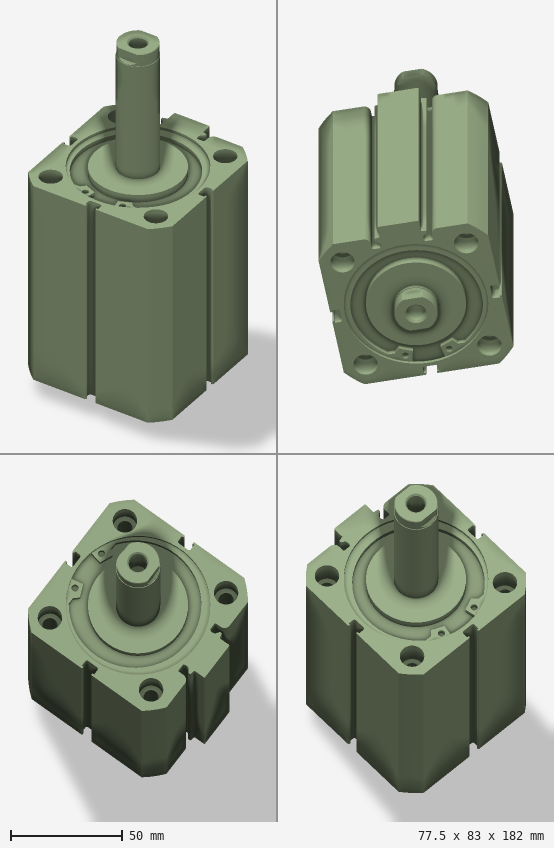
import cadquery as cq
import math


body_width = 77.5
half_width = body_width / 2
body_length = 106.0
corner_radius = 49.5
bore_diameter = 65.0

bolt_circle_radius = 40.0
bolt_pitch = bolt_circle_radius * math.sqrt(2)
bolt_hole_diameter = 6.8
counterbore_diameter = 11.0
counterbore_depth = 12.0

ring_outer_radius = 34.0

slot_mouth_width = 5.0
slot_inner_width = 6.9
slot_lip = 1.0
slot_lip_chamfer = 0.3
slot_corner_radius = 1.0
slot_floor_wall = 0.25
slot_floor_radius = ring_outer_radius + slot_floor_wall
slot_depth = half_width - slot_floor_radius

rail_half_width = 9.5
rail_height = 5.5
rail_top = half_width + rail_height
rail_corner_radius = 0.5
lip_half_width = 11.9
lip_slope_top = 38.6
lip_edge_top = 38.1
lip_edge_bottom = 36.9
undercut_start = (10.5, 36.1)
undercut_middle = (9.7, 34.6)
undercut_end = (10.3, 32.74)
groove_outer = 14.0
groove_mouth_radius = 3.0
groove_floor_radius = 0.7

ring_inset = 1.5
ring_thickness = 2.5
ring_inner_radius = 29.8
ring_inner_offset = 1.65
lug_inner = (6.3, 25.9)
lug_outer = (7.9, 33.6)
lug_tip = (12.2, 23.4)
lug_root = (14.4, 25.7)
lug_blend = (18.2, 25.7)
lug_hole_center = (10.0, 27.8)
lug_hole_diameter = 3.2
cover_recess = ring_inset + ring_thickness
cover_thickness = 16.0
boss_diameter = 45.0

rod_diameter = 20.0
rod_extension = 68.0
rod_tail = 8.0
neck_diameter = 19.5
neck_length = 6.5
neck_chamfer = 0.3
flat_width = 17.0
flat_length = 5.0
thread_diameter = 8.5
thread_mouth_diameter = 10.0
thread_depth = 20.0
drill_point_angle = 118.0


def mirrored_pair(shape):
    """Return a feature of the upper end together with its copy on the lower end."""
    middle = (0, 0, body_length / 2)
    return [shape, shape.mirror("XY", middle)]


def sensor_slot(angle):
    """T-slot cutter for the -Y face, turned about the rod axis."""
    inner_depth = slot_depth - slot_lip
    inner = (
        cq.Workplane("XY")
        .center(0, -slot_floor_radius - inner_depth / 2)
        .rect(slot_inner_width, inner_depth)
        .extrude(body_length)
        .edges("|Z and >Y")
        .fillet(slot_corner_radius)
    )
    mouth = (
        cq.Workplane("XY")
        .center(0, -half_width + slot_depth / 2)
        .rect(slot_mouth_width, slot_depth)
        .extrude(body_length)
    )
    half_mouth = slot_mouth_width / 2
    flare = (
        cq.Workplane("XY")
        .moveTo(-half_mouth - slot_lip_chamfer, -half_width)
        .lineTo(half_mouth + slot_lip_chamfer, -half_width)
        .lineTo(half_mouth, -half_width + slot_lip_chamfer)
        .lineTo(-half_mouth, -half_width + slot_lip_chamfer)
        .close()
        .extrude(body_length)
    )
    return inner.union(mouth).union(flare).rotate((0, 0, 0), (0, 0, 1), angle)


def rail_groove():
    """Cutter for the space on the +X side of the rail, from the groove floor to the rail top."""
    floor_y = undercut_end[1]
    clear_x = body_width
    mouth_x = groove_outer + groove_mouth_radius
    mouth_y = half_width - groove_mouth_radius
    diagonal = groove_mouth_radius * math.sqrt(0.5)
    floor_diagonal = groove_floor_radius * math.sqrt(0.5)
    floor_center = (groove_outer - groove_floor_radius, floor_y + groove_floor_radius)
    return (
        cq.Workplane("XY")
        .moveTo(rail_half_width, rail_top)
        .lineTo(rail_half_width, lip_slope_top)
        .lineTo(lip_half_width, lip_edge_top)
        .lineTo(lip_half_width, lip_edge_bottom)
        .lineTo(*undercut_start)
        .threePointArc(undercut_middle, undercut_end)
        .lineTo(floor_center[0], floor_y)
        .threePointArc(
            (floor_center[0] + floor_diagonal, floor_center[1] - floor_diagonal),
            (groove_outer, floor_center[1]),
        )
        .lineTo(groove_outer, mouth_y)
        .threePointArc((mouth_x - diagonal, mouth_y + diagonal), (mouth_x, half_width))
        .lineTo(clear_x, half_width)
        .lineTo(clear_x, rail_top)
        .close()
        .extrude(body_length)
    )


def make_barrel():
    barrel = cq.Workplane("XY").rect(body_width, body_width).extrude(body_length)
    barrel = barrel.intersect(cq.Workplane("XY").circle(corner_radius).extrude(body_length))

    rail_block = (
        cq.Workplane("XY")
        .center(0, half_width)
        .rect(2 * rail_half_width, 2 * rail_height)
        .extrude(body_length)
        .edges("|Z and >Y")
        .fillet(rail_corner_radius)
    )
    barrel = barrel.union(rail_block)
    groove = rail_groove()
    barrel = barrel.cut(groove).cut(groove.mirror("YZ"))

    for angle in (-90, 0, 90):
        barrel = barrel.cut(sensor_slot(angle))

    bolt_holes = (
        cq.Workplane("XY")
        .rect(bolt_pitch, bolt_pitch, forConstruction=True)
        .vertices()
        .circle(bolt_hole_diameter / 2)
        .extrude(body_length)
    )
    counterbores = (
        cq.Workplane("XY")
        .workplane(offset=body_length - counterbore_depth)
        .rect(bolt_pitch, bolt_pitch, forConstruction=True)
        .vertices()
        .circle(counterbore_diameter / 2)
        .extrude(counterbore_depth)
    )
    bore = cq.Workplane("XY").circle(bore_diameter / 2).extrude(body_length)
    ring_groove = (
        cq.Workplane("XY")
        .workplane(offset=body_length - cover_recess)
        .circle(ring_outer_radius)
        .extrude(ring_thickness)
    )
    barrel = barrel.cut(bolt_holes).cut(bore)
    for end_cut in mirrored_pair(counterbores) + mirrored_pair(ring_groove):
        barrel = barrel.cut(end_cut)
    return barrel


def make_cover():
    """Upper end cover: a disc below the ring with a boss flush with the barrel end."""
    disc = (
        cq.Workplane("XY")
        .workplane(offset=body_length - cover_recess - cover_thickness)
        .circle(bore_diameter / 2)
        .extrude(cover_thickness)
    )
    boss = (
        cq.Workplane("XY")
        .workplane(offset=body_length - cover_recess)
        .circle(boss_diameter / 2)
        .extrude(cover_recess)
    )
    rod_hole = cq.Workplane("XY").circle(rod_diameter / 2).extrude(body_length)
    return disc.union(boss).cut(rod_hole)


def make_ring():
    """Upper retaining ring, open towards -Y, with a plier hole in a lug at each end."""
    ring_plane = cq.Workplane("XY").workplane(offset=body_length - cover_recess)
    disc = ring_plane.circle(ring_outer_radius).extrude(ring_thickness)
    opening = ring_plane.center(0, -ring_inner_offset).circle(ring_inner_radius).extrude(ring_thickness)
    ring = disc.cut(opening)

    for side in (-1, 1):
        corners = [lug_inner, lug_outer, lug_blend, lug_root, lug_tip]
        lug = (
            ring_plane
            .polyline([(side * x, -y) for x, y in corners])
            .close()
            .extrude(ring_thickness)
        )
        ring = ring.union(lug.intersect(disc))

    gap_corners = [
        (-lug_inner[0], -lug_inner[1]),
        (lug_inner[0], -lug_inner[1]),
        (lug_outer[0], -lug_outer[1]),
        (lug_outer[0], -half_width),
        (-lug_outer[0], -half_width),
        (-lug_outer[0], -lug_outer[1]),
    ]
    gap = ring_plane.polyline(gap_corners).close().extrude(ring_thickness)
    plier_holes = (
        ring_plane
        .pushPoints([(side * lug_hole_center[0], -lug_hole_center[1]) for side in (-1, 1)])
        .circle(lug_hole_diameter / 2)
        .extrude(ring_thickness)
    )
    return ring.cut(gap).cut(plier_holes)


def rod_flat(end_z, inward, side):
    """Cutter for one wrench flat; inward is the Z direction into the rod, side the sign of Y."""
    rod_radius = rod_diameter / 2
    flat_end = end_z + inward * flat_length
    shoulder = end_z + inward * neck_length
    profile = [
        (side * flat_width / 2, end_z),
        (side * flat_width / 2, flat_end),
        (side * rod_radius, shoulder),
        (side * rod_diameter, shoulder),
        (side * rod_diameter, end_z),
    ]
    return cq.Workplane("YZ").polyline(profile).close().extrude(rod_radius, both=True)


def thread_hole(end_z, inward):
    """Drilled hole with a countersunk mouth and a conical bottom, as a revolved cutter."""
    hole_radius = thread_diameter / 2
    mouth_radius = thread_mouth_diameter / 2
    mouth_depth = mouth_radius - hole_radius
    point_length = hole_radius / math.tan(math.radians(drill_point_angle / 2))
    profile = [
        (0, end_z),
        (mouth_radius, end_z),
        (hole_radius, end_z + inward * mouth_depth),
        (hole_radius, end_z + inward * thread_depth),
        (0, end_z + inward * (thread_depth + point_length)),
    ]
    return cq.Workplane("XZ").polyline(profile).close().revolve(360, (0, 0, 0), (0, 1, 0))


def make_rod():
    bottom_z = -rod_tail
    top_z = body_length + rod_extension
    full_length = top_z - bottom_z
    core = (
        cq.Workplane("XY")
        .workplane(offset=bottom_z)
        .circle(neck_diameter / 2)
        .extrude(full_length)
        .faces("<Z or >Z")
        .chamfer(neck_chamfer)
    )
    shank = (
        cq.Workplane("XY")
        .workplane(offset=bottom_z + neck_length)
        .circle(rod_diameter / 2)
        .extrude(full_length - 2 * neck_length)
    )
    rod = core.union(shank)
    for end_z, inward in ((bottom_z, 1), (top_z, -1)):
        for side in (-1, 1):
            rod = rod.cut(rod_flat(end_z, inward, side))
        rod = rod.cut(thread_hole(end_z, inward))
    return rod


barrel = make_barrel()
covers = mirrored_pair(make_cover())
rings = mirrored_pair(make_ring())
rod = make_rod()

result = cq.Compound.makeCompound(
    [barrel.val(), rod.val()]
    + [cover.val() for cover in covers]
    + [ring.val() for ring in rings]
)